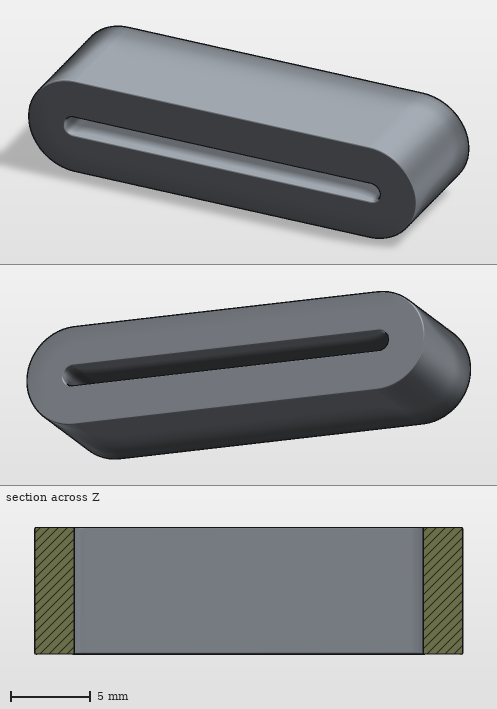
import cadquery as cq

body_length = 27.0
body_height = 6.5
body_depth = 8.0

slot_length = 22.0
slot_height = 1.3

rim_radius = 0.1


def stadium_prism(length, height):
    """Round-ended bar centred on the origin, with its axis along Y."""
    return (
        cq.Workplane("XZ")
        .slot2D(length, height)
        .extrude(body_depth / 2, both=True)
    )


body = stadium_prism(body_length, body_height)
slot = stadium_prism(slot_length, slot_height)

result = body.cut(slot).faces("<Y or >Y").edges().fillet(rim_radius)